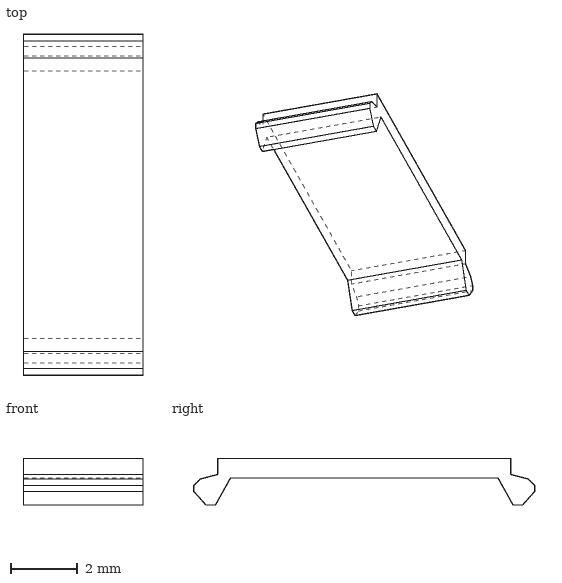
import cadquery as cq

width = 3.6
length = 10.25
height = 1.4

plate_length = 8.82
plate_thickness = 0.59
plate_edge_depth = 0.48

knee_inset = 0.2
knee_depth = 0.62
tip_top_depth = 0.81
tip_bottom_depth = 0.99
sole_outer_inset = 0.37
sole_width = 0.29
foot_root_inset = 1.11

half_length = length / 2
half_plate = plate_length / 2
top = height / 2
bottom = -height / 2
sole_outer = half_length - sole_outer_inset

half_profile = [
    (0, top),
    (half_plate, top),
    (half_plate, top - plate_edge_depth),
    (half_length - knee_inset, top - knee_depth),
    (half_length, top - tip_top_depth),
    (half_length, top - tip_bottom_depth),
    (sole_outer, bottom),
    (sole_outer - sole_width, bottom),
    (half_length - foot_root_inset, top - plate_thickness),
    (0, top - plate_thickness),
]

result = (
    cq.Workplane("YZ")
    .polyline(half_profile)
    .mirrorY()
    .extrude(width / 2, both=True)
)